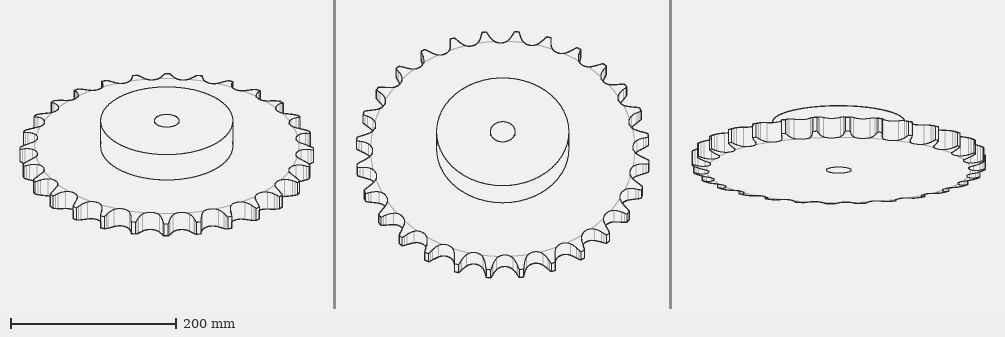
import cadquery as cq
import math

tooth_count = 28
overall_size = 353.5
root_diameter = 315.0
seat_radius = 12.7
seat_half_angle = 52.9
working_radius = 33.2
working_sweep = 16.0
flank_length = 3.43
topping_radius = 21.0
plate_thickness = 24.5
total_height = 60.0
hub_diameter = 160.0
bore_diameter = 30.0

relief_diameter = 319.5
tip_thickness = 17.0

gap_overrun = 1.8

straight_slope = seat_half_angle + working_sweep


def toward_metal(start, distance, slope):
    """Point reached from start, square to an outline of this slope, on the metal side."""
    angle = math.radians(slope)
    return (start[0] - distance * math.cos(angle), start[1] + distance * math.sin(angle))


seat_center = (root_diameter / 2 + seat_radius, 0)
seat_end = toward_metal(seat_center, seat_radius, seat_half_angle)
working_center = toward_metal(seat_center, seat_radius - working_radius, seat_half_angle)
working_middle = toward_metal(working_center, working_radius, seat_half_angle + working_sweep / 2)
working_end = toward_metal(working_center, working_radius, straight_slope)
topping_start = (
    working_end[0] + flank_length * math.sin(math.radians(straight_slope)),
    working_end[1] + flank_length * math.cos(math.radians(straight_slope)),
)
topping_center = toward_metal(topping_start, topping_radius, straight_slope)


def topping_y(x):
    """Half width of the gap along the convex flank, at distance x along the gap."""
    return topping_center[1] - math.sqrt(topping_radius**2 - (x - topping_center[0]) ** 2)


tip_corner_x = overall_size / 2
tip_radius = math.hypot(tip_corner_x, topping_y(tip_corner_x))


def make_blank():
    """Turned disc with its rim rounded off on both faces."""
    relief_radius = relief_diameter / 2
    rim_width = tip_radius - relief_radius
    rim_drop = (plate_thickness - tip_thickness) / 2
    rim_arc_radius = (rim_width**2 + rim_drop**2) / (2 * rim_drop)
    half_sweep = math.asin(rim_width / rim_arc_radius) / 2
    mid_x = relief_radius + rim_arc_radius * math.sin(half_sweep)
    mid_drop = rim_arc_radius * (1 - math.cos(half_sweep))
    profile = (
        cq.Workplane("XZ")
        .lineTo(relief_radius, 0)
        .threePointArc((mid_x, mid_drop), (tip_radius, rim_drop))
        .lineTo(tip_radius, plate_thickness - rim_drop)
        .threePointArc((mid_x, plate_thickness - mid_drop), (relief_radius, plate_thickness))
        .lineTo(0, plate_thickness)
        .close()
    )
    return profile.revolve(360, (0, 0, 0), (0, 1, 0))


def mirrored(point):
    """Matching point on the other half of the gap."""
    return (point[0], -point[1])


def make_gap():
    """Cutter for the tooth gap on the +X axis, running past the tips."""
    outer_x = tip_radius + gap_overrun
    outer_end = (outer_x, topping_y(outer_x))
    topping_middle_x = (topping_start[0] + outer_x) / 2
    topping_middle = (topping_middle_x, topping_y(topping_middle_x))
    return (
        cq.Workplane("XY")
        .moveTo(*mirrored(outer_end))
        .threePointArc(mirrored(topping_middle), mirrored(topping_start))
        .lineTo(*mirrored(working_end))
        .threePointArc(mirrored(working_middle), mirrored(seat_end))
        .threePointArc((root_diameter / 2, 0), seat_end)
        .threePointArc(working_middle, working_end)
        .lineTo(*topping_start)
        .threePointArc(topping_middle, outer_end)
        .close()
        .extrude(plate_thickness)
    )


def cut_teeth(blank):
    """Blank with the tooth gaps cut evenly around its rim."""
    gap = make_gap()
    for index in range(tooth_count):
        angle = index * 360 / tooth_count
        blank = blank.cut(gap.rotate((0, 0, 0), (0, 0, 1), angle))
    return blank


toothed_plate = cut_teeth(make_blank())
hub = cq.Workplane("XY").circle(hub_diameter / 2).extrude(total_height)
bore = cq.Workplane("XY").circle(bore_diameter / 2).extrude(total_height)
result = toothed_plate.union(hub).cut(bore)